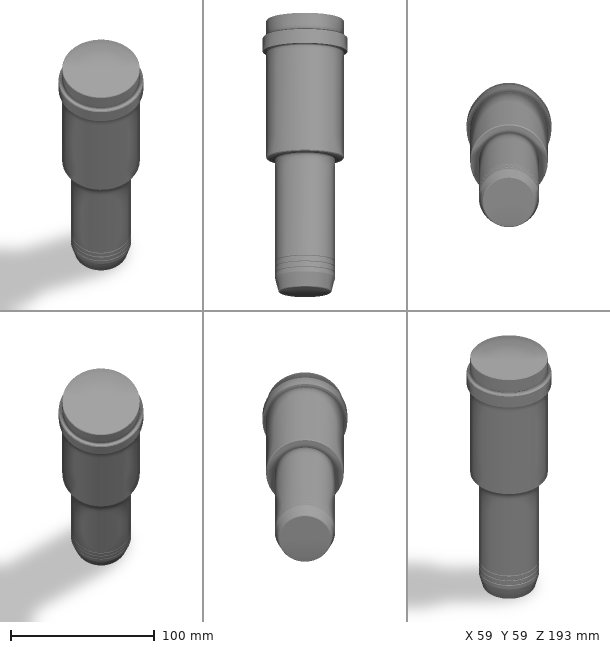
import math

import cadquery as cq

LENGTH = 193.0

COLLAR_DIAMETER = 59.0
BODY_DIAMETER = 54.0
SHANK_DIAMETER = 42.0

HEAD_LENGTH = 12.0
COLLAR_LENGTH = 10.0
BODY_LENGTH = 76.0
TIP_LENGTH = 10.2

TIP_ANGLE = 15.0
TIP_CHAMFER = 0.4

HEAD_CHAMFER = 0.4
COLLAR_CHAMFER = 0.5
BODY_CHAMFER = 0.5

RELIEF_WIDTH = 1.0
RELIEF_DEPTH = 0.5

COLLAR_GROOVE_DEPTH = 0.5

OIL_GROOVE_COUNT = 3
OIL_GROOVE_DEPTH = 0.3
OIL_GROOVE_PITCH = 4.0
FIRST_OIL_GROOVE_HEIGHT = 13.5

COLLAR_TOP = LENGTH - HEAD_LENGTH
COLLAR_BOTTOM = COLLAR_TOP - COLLAR_LENGTH
BODY_BOTTOM = COLLAR_BOTTOM - BODY_LENGTH


def cylinder(diameter, bottom, top):
    """Upright cylinder on the Z axis."""
    return cq.Workplane("XY").workplane(offset=bottom).circle(diameter / 2).extrude(top - bottom)


def vee_groove(diameter, groove_depth, height):
    """Ring of diamond section whose inner half cuts a right-angled groove into a cylinder."""
    section = cq.Workplane("XZ").center(diameter / 2, height).polygon(4, 2 * groove_depth)
    return section.revolve(360, (-diameter / 2, 0, 0), (-diameter / 2, 1, 0))


def make_tip():
    """Conical lead-in with a small chamfer around its lower face."""
    shank_radius = SHANK_DIAMETER / 2
    tip_radius = shank_radius - TIP_LENGTH * math.tan(math.radians(TIP_ANGLE))
    profile = (
        cq.Workplane("XZ")
        .lineTo(tip_radius, 0)
        .lineTo(shank_radius, TIP_LENGTH)
        .lineTo(0, TIP_LENGTH)
        .close()
    )
    cone = profile.revolve(360, (0, 0, 0), (0, 1, 0))
    return cone.faces("<Z").chamfer(TIP_CHAMFER)


def make_shank():
    """Guide shank, necked down under the body and ringed by the oil grooves."""
    relief_bottom = BODY_BOTTOM - RELIEF_WIDTH
    shank = cylinder(SHANK_DIAMETER, TIP_LENGTH, relief_bottom)
    for index in range(OIL_GROOVE_COUNT):
        height = FIRST_OIL_GROOVE_HEIGHT + index * OIL_GROOVE_PITCH
        shank = shank.cut(vee_groove(SHANK_DIAMETER, OIL_GROOVE_DEPTH, height))
    return shank.union(cylinder(SHANK_DIAMETER - 2 * RELIEF_DEPTH, relief_bottom, BODY_BOTTOM))


def make_body():
    """Body and head in one cylinder, carrying the collar between two V grooves."""
    body = cylinder(BODY_DIAMETER, BODY_BOTTOM, LENGTH)
    body = body.faces("<Z").chamfer(BODY_CHAMFER)
    body = body.faces(">Z").chamfer(HEAD_CHAMFER)
    for height in (COLLAR_BOTTOM - COLLAR_GROOVE_DEPTH, COLLAR_TOP + COLLAR_GROOVE_DEPTH):
        body = body.cut(vee_groove(BODY_DIAMETER, COLLAR_GROOVE_DEPTH, height))
    return body.union(make_collar())


def make_collar():
    """Locating collar with a chamfered upper rim."""
    return cylinder(COLLAR_DIAMETER, COLLAR_BOTTOM, COLLAR_TOP).faces(">Z").chamfer(COLLAR_CHAMFER)


result = make_tip().union(make_shank()).union(make_body())